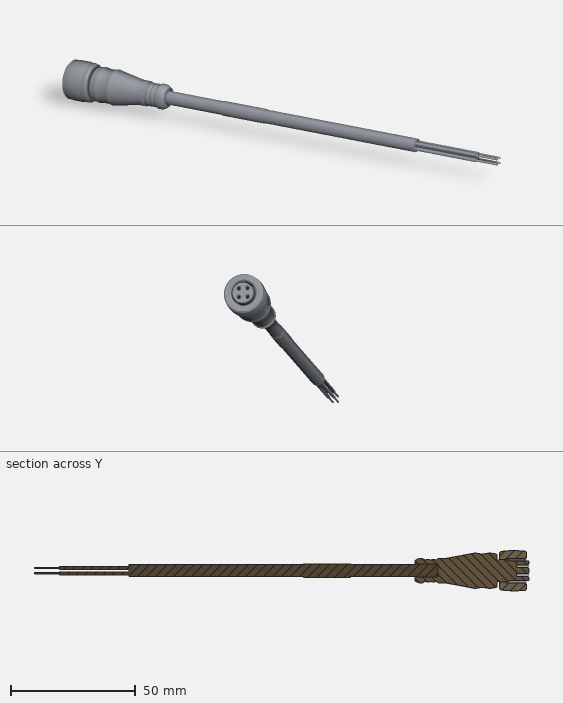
import cadquery as cq

TOTAL_LENGTH = 198.3

NUT_DIAMETER = 16.5
NUT_FRONT = 1.0
NUT_REAR = 11.9
NUT_CHAMFER = 0.5
NUT_LAND_DROP = 0.2
NUT_RAMP_LENGTH = 1.8
NUT_LAND_LENGTH = 1.0
NUT_RIM_LENGTH = 1.5
NUT_RIM_DROP = 0.2
NUT_BORE_RADIUS = 5.0
NUT_BORE_CHAMFER = 0.5
NUT_BORE_DEPTH = 8.3

INSERT_RADIUS = 4.2
INSERT_LENGTH = 8.0
CONTACT_OFFSET = 1.8
CONTACT_HOLE_RADIUS = 0.8
CONTACT_LEAD_IN = 0.4
CONTACT_HOLE_DEPTH = 5.0

NECK_RADIUS = 4.5
GRIP_FRONT = 12.7
GRIP_RADIUS = 7.0
GRIP_CHAMFER = 0.5
WAIST_FRONT = 15.9
WAIST_REAR = 21.6
WAIST_EDGE_RADIUS = 7.3
WAIST_DEPTH = 0.4
TAPER_FRONT = 23.5
TAPER_REAR = 33.5
COLLAR_RADIUS = 5.2
COLLAR_REAR = 36.7

RELIEF_LENGTH = 5.4
RELIEF_RADIUS = 4.8
RELIEF_GROOVE_COUNT = 3
GROOVE_WIDTH = RELIEF_LENGTH / (2 * RELIEF_GROOVE_COUNT - 1)
GROOVE_DEPTH = 0.2
FLANGE_FRONT = 42.5
FLANGE_WIDTH = 1.0
HOUSING_REAR = 45.8
TAIL_RADIUS = 4.2

CABLE_RADIUS = 2.8
LABEL_RADIUS = 3.0
LABEL_FRONT = 71.4
LABEL_REAR = 90.6
JACKET_REAR = 160.5
INSULATION_REAR = 188.4
WIRE_OFFSET = 1.1
WIRE_RADIUS = 0.7
CONDUCTOR_RADIUS = 0.4


def turned(outline):
    """Revolve a closed outline drawn in (x, radius) about the X axis."""
    return outline.close().revolve(360, (0, 0, 0), (1, 0, 0))


def rod(start, end, radius, y=0.0, z=0.0):
    """A round bar along X."""
    return cq.Workplane("YZ", origin=(start, y, z)).circle(radius).extrude(end - start)


def square_corners(offset):
    """The four (y, z) positions at the corners of a square around the axis."""
    return [(y, z) for y in (-offset, offset) for z in (-offset, offset)]


def make_nut():
    """The coupling nut, which turns on the neck of the housing."""
    radius = NUT_DIAMETER / 2
    land = radius - NUT_LAND_DROP
    ramp_front = NUT_FRONT + NUT_CHAMFER + NUT_LAND_LENGTH
    rim_front = NUT_REAR - NUT_RIM_LENGTH
    rim = land - NUT_RIM_DROP
    ramp_rear = rim_front - NUT_LAND_LENGTH
    bore_end = NUT_FRONT + NUT_BORE_DEPTH
    return turned(
        cq.Workplane("XY")
        .moveTo(NUT_FRONT, NUT_BORE_RADIUS + NUT_BORE_CHAMFER)
        .lineTo(NUT_FRONT, land - NUT_CHAMFER)
        .lineTo(NUT_FRONT + NUT_CHAMFER, land)
        .lineTo(ramp_front, land)
        .lineTo(ramp_front + NUT_RAMP_LENGTH, radius)
        .lineTo(ramp_rear - NUT_RAMP_LENGTH, radius)
        .lineTo(ramp_rear, land)
        .lineTo(rim_front, land)
        .lineTo(rim_front, rim)
        .lineTo(NUT_REAR - NUT_CHAMFER, rim)
        .lineTo(NUT_REAR, rim - NUT_CHAMFER)
        .lineTo(NUT_REAR, NECK_RADIUS)
        .lineTo(bore_end, NECK_RADIUS)
        .lineTo(bore_end, NUT_BORE_RADIUS)
        .lineTo(NUT_FRONT + NUT_BORE_CHAMFER, NUT_BORE_RADIUS)
    )


def housing_blank():
    """The insert, neck, grip and strain relief, before any holes."""
    waist_middle = (WAIST_FRONT + WAIST_REAR) / 2
    flange_rear = FLANGE_FRONT + FLANGE_WIDTH
    outline = (
        cq.Workplane("XY")
        .moveTo(0, 0)
        .lineTo(0, INSERT_RADIUS)
        .lineTo(INSERT_LENGTH, INSERT_RADIUS)
        .lineTo(INSERT_LENGTH, NECK_RADIUS)
        .lineTo(GRIP_FRONT, NECK_RADIUS)
        .lineTo(GRIP_FRONT, GRIP_RADIUS - GRIP_CHAMFER)
        .lineTo(GRIP_FRONT + GRIP_CHAMFER, GRIP_RADIUS)
        .lineTo(WAIST_FRONT, WAIST_EDGE_RADIUS)
        .threePointArc((waist_middle, WAIST_EDGE_RADIUS - WAIST_DEPTH), (WAIST_REAR, WAIST_EDGE_RADIUS))
        .lineTo(TAPER_FRONT, GRIP_RADIUS)
        .lineTo(TAPER_REAR, COLLAR_RADIUS)
        .lineTo(COLLAR_REAR, COLLAR_RADIUS)
    )
    for index in range(RELIEF_GROOVE_COUNT):
        front = COLLAR_REAR + index * 2 * GROOVE_WIDTH
        outline = (
            outline.lineTo(front, RELIEF_RADIUS)
            .threePointArc(
                (front + GROOVE_WIDTH / 2, RELIEF_RADIUS - GROOVE_DEPTH),
                (front + GROOVE_WIDTH, RELIEF_RADIUS),
            )
        )
    return turned(
        outline.lineTo(FLANGE_FRONT, RELIEF_RADIUS)
        .lineTo(FLANGE_FRONT, COLLAR_RADIUS)
        .lineTo(flange_rear, COLLAR_RADIUS)
        .tangentArcPoint((HOUSING_REAR, TAIL_RADIUS), relative=False)
        .lineTo(HOUSING_REAR, 0)
    )


def contact_hole():
    """The cavity of one contact, on the axis, with a conical lead-in."""
    return turned(
        cq.Workplane("XY")
        .moveTo(0, 0)
        .lineTo(0, CONTACT_HOLE_RADIUS + CONTACT_LEAD_IN)
        .lineTo(CONTACT_LEAD_IN, CONTACT_HOLE_RADIUS)
        .lineTo(CONTACT_HOLE_DEPTH, CONTACT_HOLE_RADIUS)
        .lineTo(CONTACT_HOLE_DEPTH, 0)
    )


def make_housing():
    """The moulded housing with its contact holes and cable entry."""
    housing = housing_blank().cut(rod(COLLAR_REAR, HOUSING_REAR, CABLE_RADIUS))
    for y, z in square_corners(CONTACT_OFFSET):
        housing = housing.cut(contact_hole().translate((0, y, z)))
    return housing


def make_cable():
    """The jacket with its label sleeve and the four stripped wires at the free end."""
    cable = rod(COLLAR_REAR, JACKET_REAR, CABLE_RADIUS)
    cable = cable.union(rod(LABEL_FRONT, LABEL_REAR, LABEL_RADIUS))
    for y, z in square_corners(WIRE_OFFSET):
        cable = cable.union(rod(JACKET_REAR, INSULATION_REAR, WIRE_RADIUS, y, z))
        cable = cable.union(rod(INSULATION_REAR, TOTAL_LENGTH, CONDUCTOR_RADIUS, y, z))
    return cable


nut = make_nut()
housing = make_housing()
cable = make_cable()

result = cq.Compound.makeCompound([nut.val(), housing.val(), cable.val()])